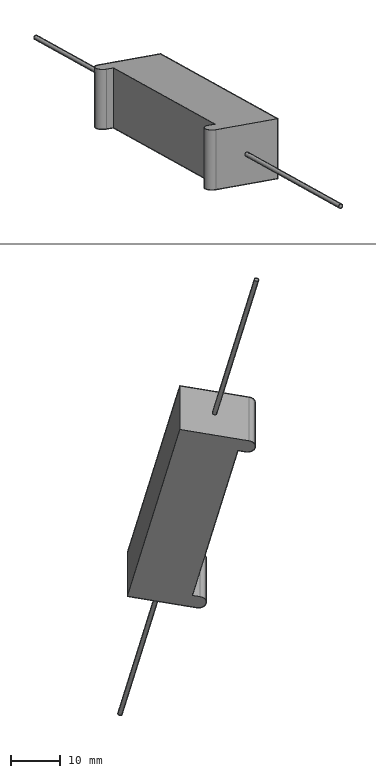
import cadquery as cq

body_length = 47.625
body_depth = 12.7
body_height = 12.7
foot_width = 3.175
foot_projection = 3.175
foot_nose_radius = foot_width / 2

lead_length = 38.1
lead_diameter = 0.914
lead_from_back = 7.144

back_y = lead_from_back
front_y = back_y - body_depth
foot_tip_y = front_y - foot_projection
nose_start_y = foot_tip_y + foot_nose_radius
outer_x = body_length / 2
inner_x = outer_x - foot_width
foot_center_x = outer_x - foot_nose_radius


def make_body():
    """Extrude the block and both feet as one XY outline."""
    return (
        cq.Workplane("XY")
        .workplane(offset=-body_height / 2)
        .moveTo(-outer_x, back_y)
        .lineTo(-outer_x, nose_start_y)
        .threePointArc((-foot_center_x, foot_tip_y), (-inner_x, nose_start_y))
        .lineTo(-inner_x, front_y)
        .lineTo(inner_x, front_y)
        .lineTo(inner_x, nose_start_y)
        .threePointArc((foot_center_x, foot_tip_y), (outer_x, nose_start_y))
        .lineTo(outer_x, back_y)
        .close()
        .extrude(body_height)
    )


def make_lead(side):
    """Make the round lead on one end; side is -1 for -X or +1 for +X."""
    return (
        cq.Workplane("YZ")
        .workplane(offset=side * outer_x)
        .circle(lead_diameter / 2)
        .extrude(side * lead_length)
    )


result = make_body()
for end_side in (-1, 1):
    result = result.union(make_lead(end_side))